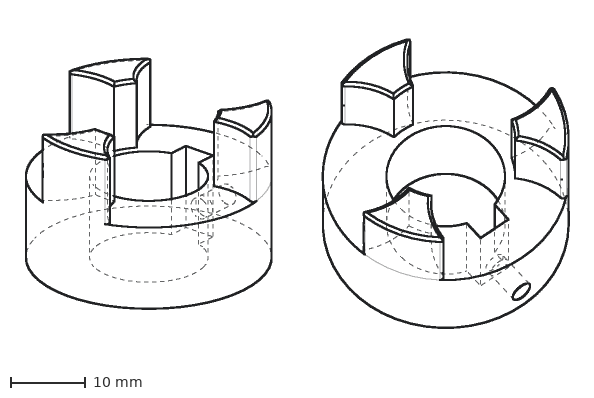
import cadquery as cq
import math

hub_diameter = 33.02
hub_radius = hub_diameter / 2
hub_height = 12.02
bore_radius = 7.95
keyway_width = 4.75
keyway_floor = 10.6

claw_count = 3
claw_height = 9.97
claw_top = hub_height + claw_height
claw_inner_radius = 9.3
claw_tip_fillet = 0.45
claw_chamfer = 0.45
chamfer_angle = 45
claw_pitch = 360 / claw_count
first_claw_angle = 30.0
flank_radius = 10.07
flank_centre_distance = 13.15

screw_radius = 1.5
screw_height = 3.5
screw_recess = 1.0


def cylinder_over_hub(radius):
    """Plain cylinder as tall as a claw, standing on the hub's top face."""
    return cq.Workplane("XY", origin=(0, 0, hub_height)).circle(radius).extrude(claw_height)


def flared_cylinder(radius):
    """Cylinder as tall as a claw that opens out at the top to leave a chamfer."""
    flare = (
        cq.Workplane("XY", origin=(0, 0, claw_top))
        .circle(radius + claw_chamfer)
        .extrude(-claw_chamfer, taper=chamfer_angle)
    )
    return cylinder_over_hub(radius).union(flare)


def cut_claw(blank, make_cutter):
    """Cut a round blank down to the claw along +X with the given kind of cutter."""
    right_half = (
        cq.Workplane("XY", origin=(hub_radius / 2, 0, hub_height))
        .rect(hub_radius, hub_diameter)
        .extrude(claw_height)
    )
    claw = blank.intersect(right_half).cut(make_cutter(claw_inner_radius))
    for side in (-1, 1):
        gap_angle = math.radians(side * claw_pitch / 2)
        flank_x = flank_centre_distance * math.cos(gap_angle)
        flank_y = flank_centre_distance * math.sin(gap_angle)
        claw = claw.cut(make_cutter(flank_radius).translate((flank_x, flank_y, 0)))
    return claw


def make_claw():
    """One claw pointing along +X, with rounded tips and chamfered top edges."""
    blank = cylinder_over_hub(hub_radius)
    rounded = cut_claw(blank, cylinder_over_hub)
    rounded = rounded.edges("|Z and (>Y or <Y)").fillet(claw_tip_fillet)
    chamfered = cut_claw(blank.faces(">Z").chamfer(claw_chamfer), flared_cylinder)
    return rounded.intersect(chamfered)


def radial_cylinder(start, length):
    """Cylinder of the screw's size running along +Y from start."""
    return cq.Workplane("XZ", origin=(0, start, screw_height)).circle(screw_radius).extrude(-length)


def make_hub():
    """Coupling half with claws, bore, keyway and screw hole."""
    hub = cq.Workplane("XY").circle(hub_radius).extrude(hub_height)
    claw = make_claw()
    for index in range(claw_count):
        angle = first_claw_angle + index * claw_pitch
        hub = hub.union(claw.rotate((0, 0, 0), (0, 0, 1), angle))
    bore = cq.Workplane("XY").circle(bore_radius).extrude(hub_height)
    keyway = (
        cq.Workplane("XY", origin=(0, keyway_floor / 2, 0))
        .rect(keyway_width, keyway_floor)
        .extrude(hub_height)
    )
    screw_hole = radial_cylinder(0, hub_radius)
    return hub.cut(bore).cut(keyway).cut(screw_hole)


def make_set_screw():
    """Headless screw, recessed from the keyway and kept inside the outer surface."""
    screw_start = keyway_floor + screw_recess
    screw_end = math.sqrt(hub_radius**2 - screw_radius**2)
    return radial_cylinder(screw_start, screw_end - screw_start)


hub = make_hub()
set_screw = make_set_screw()
result = cq.Compound.makeCompound([hub.solids().val(), set_screw.val()])